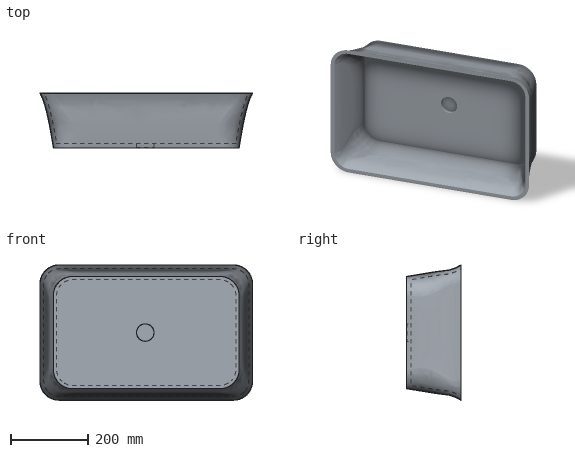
import cadquery as cq

RIM_LENGTH = 550.0
RIM_WIDTH = 350.0
HEIGHT = 142.0

WALL = 10.0
FLOOR = 12.0
DRAIN_DIAMETER = 45.0
DRAIN_X = -2.5
DRAIN_SKIN = 1.5

SECTIONS = [
    (0.0, 0.0, 0.0, 50.0),
    (20.0, 9.2, 10.0, 39.0),
    (40.0, 15.2, 14.9, 42.0),
    (60.0, 20.0, 16.8, 52.0),
    (80.0, 24.2, 19.9, 58.5),
    (100.0, 28.2, 23.2, 59.0),
    (120.0, 31.6, 26.5, 55.0),
    (HEIGHT, 35.0, 30.0, 49.0),
]

RIM_Y = HEIGHT / 2
BASE_Y = -HEIGHT / 2


def section(depth, end_inset, side_inset, radius):
    """Rounded rectangle parallel to the rim, at the given depth below it."""
    length = RIM_LENGTH - 2 * end_inset
    width = RIM_WIDTH - 2 * side_inset
    outline = cq.Sketch().rect(length, width).vertices().fillet(radius)
    return outline.moved(cq.Location(cq.Vector(0, 0, depth)))


def flared_solid(thickness):
    """Solid inside the outer wall, with every section shrunk by the given thickness."""
    sections = [
        section(depth, end_inset + thickness, side_inset + thickness, radius - thickness)
        for depth, end_inset, side_inset, radius in SECTIONS
    ]
    rim_plane = cq.Plane(origin=(0, RIM_Y, 0), xDir=(1, 0, 0), normal=(0, -1, 0))
    return cq.Workplane(rim_plane).placeSketch(*sections).loft()


def bowl_cavity():
    """Open cavity that follows the outer wall down to the flat bowl floor."""
    cavity_depth = HEIGHT - FLOOR
    above_floor = cq.Workplane("XY").box(RIM_LENGTH, cavity_depth, RIM_WIDTH)
    above_floor = above_floor.translate((0, RIM_Y - cavity_depth / 2, 0))
    return flared_solid(WALL).intersect(above_floor)


def drain_recess():
    """Round recess in the bowl floor, closed by a thin skin at the base."""
    bottom = cq.Plane(origin=(DRAIN_X, BASE_Y + DRAIN_SKIN, 0), xDir=(1, 0, 0), normal=(0, 1, 0))
    return cq.Workplane(bottom).circle(DRAIN_DIAMETER / 2).extrude(FLOOR)


basin = flared_solid(0.0).cut(bowl_cavity()).cut(drain_recess())
result = basin.solids()